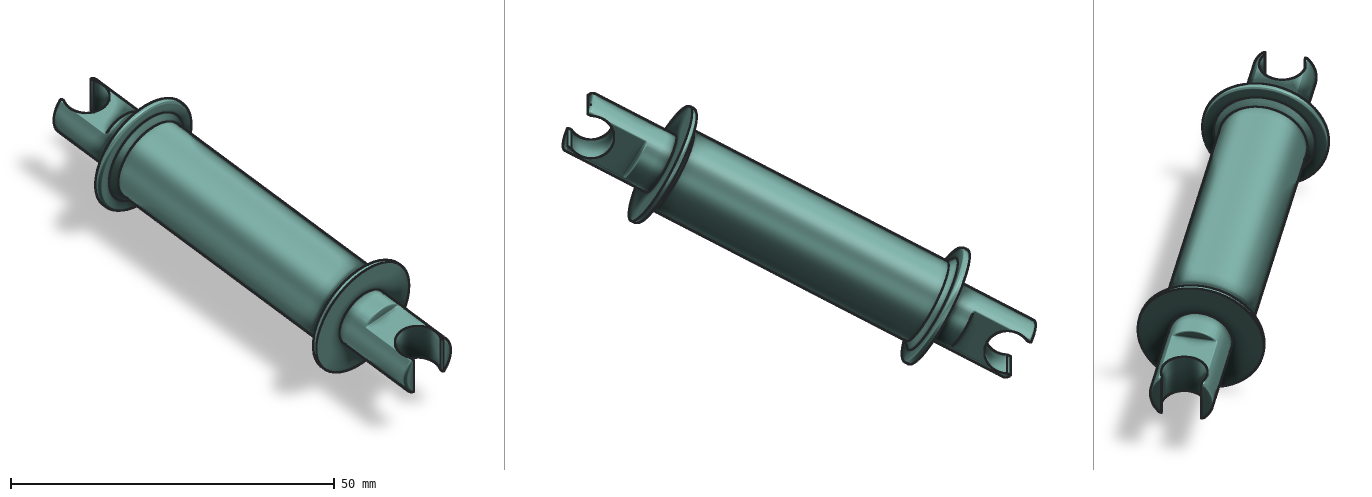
import cadquery as cq

total_length = 78.95
shaft_diameter = 10.0
barrel_diameter = 14.0
flange_diameter = 20.0
flange_thickness = 1.0
flange_inset = 14.8
rim_radius = 0.5
collar_size = 1.0
tip_radius = 0.5
flat_length = 10.35
edge_rounding = 0.2
flat_thickness = 7.0
notch_diameter = 7.2
notch_depth = 6.0
mouth_width = 6.3

half_length = total_length / 2
flange_outer = half_length - flange_inset
flange_inner = flange_outer - flange_thickness
notch_center = half_length - notch_depth + notch_diameter / 2


def spool_body():
    """Revolve half of the stepped profile and mirror it to the other end."""
    shaft_radius = shaft_diameter / 2
    barrel_radius = barrel_diameter / 2
    flange_radius = flange_diameter / 2
    half = (
        cq.Workplane("XY")
        .moveTo(0, 0)
        .lineTo(0, barrel_radius)
        .lineTo(flange_inner - collar_size, barrel_radius)
        .lineTo(flange_inner, barrel_radius + collar_size)
        .lineTo(flange_inner, flange_radius - rim_radius)
        .tangentArcPoint((flange_inner + rim_radius, flange_radius), relative=False)
        .lineTo(flange_outer, flange_radius)
        .lineTo(flange_outer, shaft_radius)
        .lineTo(half_length - tip_radius, shaft_radius)
        .tangentArcPoint((half_length, shaft_radius - tip_radius), relative=False)
        .lineTo(half_length, 0)
        .close()
        .revolve(360, (0, 0, 0), (1, 0, 0))
    )
    return half.union(half.mirror("YZ"))


def flat_cutter(end, side):
    """Material beyond one flat, with a rounded corner between flat and end wall."""
    height = (shaft_diameter - flat_thickness) / 2
    slab = cq.Workplane("XY").box(flat_length, shaft_diameter, height)
    wall = "<X" if end > 0 else ">X"
    floor = "<Z" if side > 0 else ">Z"
    slab = slab.faces(wall).edges(floor).fillet(edge_rounding)
    return slab.translate((end * (half_length - flat_length / 2), 0, side * (flat_thickness + height) / 2))


def notch_cutter(side):
    """Round notch through the tongue, opened to the tip by a narrower mouth."""
    mouth_length = half_length - notch_center
    bore = cq.Workplane("XY").circle(notch_diameter / 2).extrude(shaft_diameter / 2, both=True)
    mouth = cq.Workplane("XY").box(mouth_length, mouth_width, shaft_diameter)
    bore = bore.translate((side * notch_center, 0, 0))
    return bore.union(mouth.translate((side * (half_length - mouth_length / 2), 0, 0)))


def round_wall_rim(body, end, side):
    """Round the outer rim of the end wall of one flat."""
    rim_point = (end * (half_length - flat_length), 0, side * shaft_diameter / 2)
    return body.edges(cq.NearestToPointSelector(rim_point)).fillet(edge_rounding)


result = spool_body()
for end in (-1, 1):
    for side in (-1, 1):
        result = result.cut(flat_cutter(end, side))
        result = round_wall_rim(result, end, side)
    result = result.cut(notch_cutter(end))